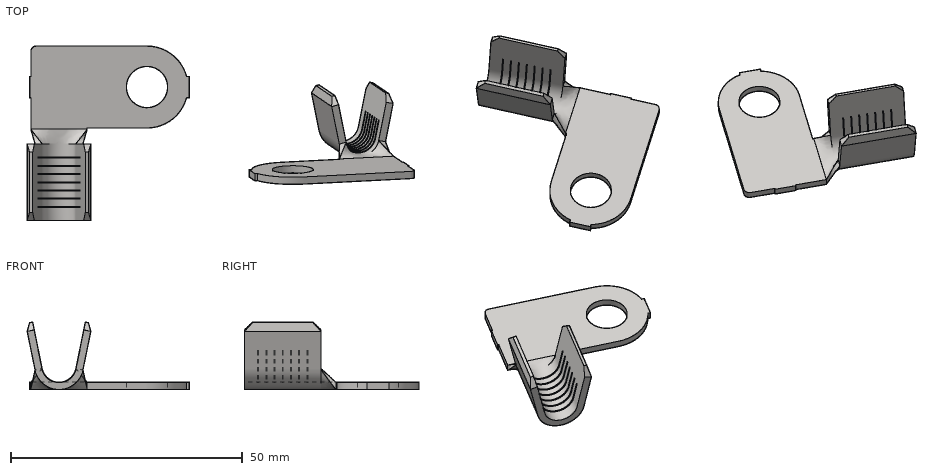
import cadquery as cq
import math

thickness = 1.6
pad_width = 17.75
pad_left = -25.1
pad_corner_radius = 1.2
stud_hole_diameter = 8.85

tab_width = 4.65
tab_left = -25.35
tab_right = 9.16

neck_width = 12.2
barrel_x = pad_left + neck_width / 2
neck_start_y = -9.1
barrel_start_y = -12.29
barrel_end_y = -28.845
wall_lean = math.radians(11.5)
barrel_inner_radius = 3.7
barrel_height = 14.61
tip_bevel = 1.75
tip_land = 0.72

groove_count = 7
groove_pitch = 1.77
groove_width = 0.2
groove_depth = 0.1
groove_wall_length = 4.0

pad_radius = pad_width / 2
barrel_outer_radius = barrel_inner_radius + thickness
barrel_axis_z = barrel_outer_radius
barrel_length = barrel_start_y - barrel_end_y
lean_sin = math.sin(wall_lean)
lean_cos = math.cos(wall_lean)
inner_tangent_z = barrel_axis_z - barrel_inner_radius * lean_sin
wall_length = (barrel_height - inner_tangent_z) / lean_cos


def wall_point(radius, along):
    """Point (X from the barrel axis, Z) on the right wall, `along` millimetres above the round bottom."""
    x = radius * lean_cos + along * lean_sin
    z = barrel_axis_z - radius * lean_sin + along * lean_cos
    return x, z


def mirrored(point):
    """The same point on the left wall."""
    return -point[0], point[1]


def arc_middle(radius):
    """Point (X from the barrel axis, Z) halfway along the right half of the round bottom."""
    angle = (math.pi / 2 - wall_lean) / 2
    return radius * math.sin(angle), barrel_axis_z - radius * math.cos(angle)


def barrel_plane(y):
    """Plane across the barrel at the given Y; extrusions run toward -Y."""
    return cq.Workplane("XZ", origin=(barrel_x, y, 0))


def mirror_across_barrel(shape):
    """The shape reflected to the left half of the barrel."""
    return shape.mirror("YZ", (barrel_x, 0, 0))


def make_pad():
    """Flat tongue with a round end, a rounded corner, two tabs and the stud hole."""
    length = -pad_left
    body = cq.Workplane("XY").rect(length, pad_width).extrude(thickness)
    body = body.translate((pad_left / 2, 0, 0))
    body = body.edges("|Z and <X and >Y").fillet(pad_corner_radius)
    round_end = cq.Workplane("XY").circle(pad_radius).extrude(thickness)
    tab_length = tab_right - tab_left
    tabs = cq.Workplane("XY").rect(tab_length, tab_width).extrude(thickness)
    tabs = tabs.translate(((tab_left + tab_right) / 2, 0, 0))
    step_length = -neck_start_y
    step = (
        cq.Workplane("XY", origin=(barrel_x, -step_length / 2, 0))
        .rect(neck_width, step_length)
        .extrude(thickness)
    )
    hole = cq.Workplane("XY").circle(stud_hole_diameter / 2).extrude(thickness)
    return body.union(round_end).union(tabs).union(step).cut(hole)


def make_neck():
    """Ruled transition from the flat strip to the round bottom of the barrel."""
    half_width = neck_width / 2

    def strip_edge(start, end):
        corners = [cq.Vector(barrel_x + x, neck_start_y, z) for x, z in (start, end)]
        return cq.Edge.makeLine(*corners)

    def barrel_point(point):
        return cq.Vector(barrel_x + point[0], barrel_start_y, point[1])

    low_corner = (half_width, 0)
    high_corner = (half_width, thickness)
    strip_edges = [
        strip_edge(mirrored(low_corner), low_corner),
        strip_edge(low_corner, high_corner),
        strip_edge(high_corner, mirrored(high_corner)),
        strip_edge(mirrored(high_corner), mirrored(low_corner)),
    ]

    outer_right = wall_point(barrel_outer_radius, 0)
    inner_right = wall_point(barrel_inner_radius, 0)
    outer_start, outer_middle, outer_end = map(barrel_point, (mirrored(outer_right), (0, 0), outer_right))
    inner_start, inner_middle, inner_end = map(
        barrel_point, (inner_right, (0, thickness), mirrored(inner_right))
    )
    barrel_edges = [
        cq.Edge.makeThreePointArc(outer_start, outer_middle, outer_end),
        cq.Edge.makeLine(outer_end, inner_start),
        cq.Edge.makeThreePointArc(inner_start, inner_middle, inner_end),
        cq.Edge.makeLine(inner_end, outer_start),
    ]

    faces = [cq.Face.makeRuledSurface(*pair) for pair in zip(strip_edges, barrel_edges)]
    for edges in (strip_edges, barrel_edges):
        faces.append(cq.Face.makeFromWires(cq.Wire.assembleEdges(edges)))
    return cq.Workplane(cq.Solid.makeSolid(cq.occ_impl.shapes.shell(*faces)))


def make_round_bottom_half():
    """Right half of the rounded bottom of the barrel."""
    return (
        barrel_plane(barrel_start_y)
        .moveTo(0, 0)
        .threePointArc(arc_middle(barrel_outer_radius), wall_point(barrel_outer_radius, 0))
        .lineTo(*wall_point(barrel_inner_radius, 0))
        .threePointArc(arc_middle(barrel_inner_radius), (0, thickness))
        .close()
        .extrude(barrel_length)
    )


def make_wall():
    """Right wall of the barrel: a leaning plate with cut corners and a bevelled outer tip."""
    inner_x, inner_z = wall_point(barrel_inner_radius, 0)
    wall_plane = cq.Plane(
        origin=(barrel_x + inner_x, barrel_end_y, inner_z),
        xDir=(0, 1, 0),
        normal=(lean_cos, 0, -lean_sin),
    )
    shoulder = wall_length - tip_bevel
    plate = (
        cq.Workplane(wall_plane)
        .polyline([
            (0, 0),
            (barrel_length, 0),
            (barrel_length, shoulder),
            (barrel_length - tip_bevel, wall_length),
            (tip_bevel, wall_length),
            (0, shoulder),
        ])
        .close()
        .extrude(thickness)
    )
    bevel = (
        barrel_plane(barrel_start_y)
        .polyline([
            wall_point(barrel_outer_radius, shoulder),
            wall_point(barrel_outer_radius, wall_length),
            wall_point(barrel_inner_radius + tip_land, wall_length),
        ])
        .close()
        .extrude(barrel_length)
    )
    return plate.cut(bevel)


def make_groove_half(y):
    """Right half of one grip groove, sunk into the round bottom and up the wall."""
    floor_radius = barrel_inner_radius + groove_depth
    return (
        barrel_plane(y + groove_width / 2)
        .moveTo(0, barrel_axis_z - floor_radius)
        .threePointArc(arc_middle(floor_radius), wall_point(floor_radius, 0))
        .lineTo(*wall_point(floor_radius, groove_wall_length))
        .lineTo(*wall_point(barrel_inner_radius, groove_wall_length))
        .lineTo(*wall_point(barrel_inner_radius, 0))
        .threePointArc(arc_middle(barrel_inner_radius), (0, thickness))
        .close()
        .extrude(groove_width)
    )


def make_barrel():
    """Open crimp barrel with its grip grooves."""
    half = make_round_bottom_half().union(make_wall())
    middle_y = (barrel_start_y + barrel_end_y) / 2
    for index in range(groove_count):
        groove_y = middle_y + (index - (groove_count - 1) / 2) * groove_pitch
        half = half.cut(make_groove_half(groove_y))
    return half.union(mirror_across_barrel(half))


result = make_pad().union(make_neck()).union(make_barrel())